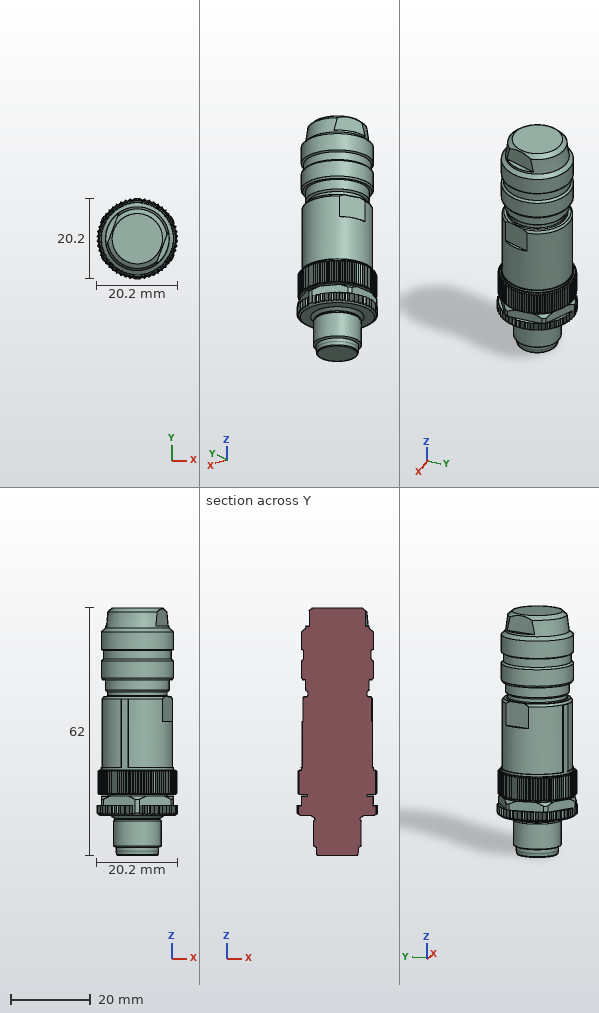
import cadquery as cq
import math


NOSE_TIP_RADIUS = 5.0
NOSE_TAPER_RADIUS = 5.2
NOSE_RADIUS = 5.35
NOSE_EDGE_Z = 0.25
NOSE_TAPER_Z = 1.1
SHANK_RADIUS = 6.0
SHANK_BOTTOM_Z = 2.35
SHANK_TOP_Z = 8.7
SHANK_EDGE = 0.3
UNDERCUT_RADIUS = 5.7
UNDERCUT_TOP_Z = 9.3
FLARE_RADIUS = 6.7

RING_RADIUS = 10.1
RING_BOTTOM_RADIUS = 9.3
RING_BOTTOM_Z = 9.98
RING_EDGE_Z = 10.6
RING_TOP_Z = 12.5
RING_NOTCHES = 52
NOTCH_DEPTH = 0.35
NOTCH_FLOOR_SHARE = 0.35
HEX_ACROSS_FLATS = 18.0
HEX_TOP_Z = 14.9
HEX_EDGE_WIDTH = 0.75
HEX_EDGE_HEIGHT = 0.85
KEY_WIDTH = 2.4

NECK_RADIUS = 7.5
SLEEVE_RADIUS = 9.87
SLEEVE_BOTTOM_Z = 15.25
SLEEVE_TOP_Z = 21.4
SLEEVE_EDGE = 0.35
SLEEVE_TOP_EDGE_WIDTH = 0.42
KNURL_GROOVES = 100
KNURL_DEPTH = 0.25

COLLAR_RADIUS = 9.1
COLLAR_TOP_Z = 21.98
BODY_RADIUS = 8.85
BODY_EDGE_Z = 39.17
BODY_TOP_Z = 39.8
BODY_TOP_RADIUS = 8.4
BODY_FLAT_DISTANCE = 8.09
BODY_FLAT_BOTTOM_Z = 33.6
RIB_HALF_ANGLE = 5.9

THROAT_RADIUS = 7.45
THROAT_FOOT_RADIUS = 7.7
THROAT_FOOT_Z = 40.05
THROAT_TOP_Z = 40.95
NUT_BASE_RADIUS = 8.0
NUT_BASE_EDGE_Z = 41.4
BAND_RADIUS = 9.05
BAND_BOTTOM_RADIUS = 8.7
LOWER_BAND_BOTTOM_Z = 44.0
LOWER_BAND_EDGE_Z = 44.5
LOWER_BAND_TOP_Z = 48.7
WAIST_RADIUS = 8.5
WAIST_BOTTOM_Z = 49.2
WAIST_TOP_Z = 51.3
UPPER_BAND_BOTTOM_Z = 51.6
UPPER_BAND_TOP_Z = 56.0
CAP_FOOT_RADIUS = 8.0
CAP_FOOT_Z = 56.92
CAP_EDGE_RADIUS = 7.45
CAP_EDGE_Z = 61.0
CAP_TOP_RADIUS = 6.3
TOTAL_HEIGHT = 61.99
CAP_FLAT_DISTANCE = 6.6
CAP_FLAT_BOTTOM_Z = 57.45

TWIST = -20.5

AXIS_START = (0, 0, 0)
AXIS_END = (0, 1, 0)


def turned(profile):
    """Solid of revolution about Z from (radius, height) points."""
    points = [(0, profile[0][1])] + profile + [(0, profile[-1][1])]
    return cq.Workplane("XZ").polyline(points).close().revolve(360, AXIS_START, AXIS_END)


def prism(points, bottom, top):
    """Upright prism over a closed XY outline."""
    return cq.Workplane("XY").workplane(offset=bottom).polyline(points).close().extrude(top - bottom)


def polar(radius, angle):
    """XY point at an angle in degrees from +X."""
    return (radius * math.cos(math.radians(angle)), radius * math.sin(math.radians(angle)))


def plug():
    return turned([
        (NOSE_TIP_RADIUS, 0),
        (NOSE_TAPER_RADIUS, NOSE_EDGE_Z),
        (NOSE_RADIUS, NOSE_TAPER_Z),
        (NOSE_RADIUS, SHANK_BOTTOM_Z - SHANK_EDGE),
        (SHANK_RADIUS, SHANK_BOTTOM_Z),
        (SHANK_RADIUS, SHANK_TOP_Z),
        (UNDERCUT_RADIUS, SHANK_TOP_Z + SHANK_EDGE),
        (UNDERCUT_RADIUS, UNDERCUT_TOP_Z),
        (FLARE_RADIUS, RING_BOTTOM_Z),
    ])


def locking_ring():
    """Ring of sharp teeth, with one notch centred on each of the X and Y axes."""
    pitch = 360 / RING_NOTCHES
    half_floor = pitch * NOTCH_FLOOR_SHARE / 2
    floor_radius = RING_RADIUS - NOTCH_DEPTH
    outline = []
    for index in range(RING_NOTCHES):
        centre = index * pitch
        outline.append(polar(floor_radius, centre - half_floor))
        outline.append(polar(floor_radius, centre + half_floor))
        outline.append(polar(RING_RADIUS, centre + pitch / 2))
    return prism(outline, RING_BOTTOM_Z, RING_TOP_Z)


def hexagon(bottom):
    """Hexagon with flats facing +X and -X."""
    corner_radius = HEX_ACROSS_FLATS / math.sqrt(3)
    outline = [polar(corner_radius, 30 + 60 * index) for index in range(6)]
    return prism(outline, bottom, HEX_TOP_Z)


def corner_keys():
    """The +Y and -Y hexagon corners, carried down to fill the ring notches below them."""
    slab = cq.Workplane("XY").box(KEY_WIDTH, 3 * RING_RADIUS, 2 * HEX_TOP_Z)
    return hexagon(RING_BOTTOM_Z).intersect(slab)


def locking_nut():
    """Ring, hexagon and keys, all trimmed by the same turned envelope."""
    envelope = turned([
        (RING_BOTTOM_RADIUS, RING_BOTTOM_Z),
        (RING_RADIUS, RING_EDGE_Z),
        (RING_RADIUS, HEX_TOP_Z - HEX_EDGE_HEIGHT),
        (RING_RADIUS - HEX_EDGE_WIDTH, HEX_TOP_Z),
    ])
    return locking_ring().union(hexagon(RING_TOP_Z)).union(corner_keys()).intersect(envelope)


def knurled_sleeve():
    pitch = 360 / KNURL_GROOVES
    outline = []
    for index in range(KNURL_GROOVES):
        outline.append(polar(SLEEVE_RADIUS - KNURL_DEPTH, index * pitch))
        outline.append(polar(SLEEVE_RADIUS, (index + 0.5) * pitch))
    envelope = turned([
        (SLEEVE_RADIUS - SLEEVE_EDGE, SLEEVE_BOTTOM_Z),
        (SLEEVE_RADIUS, SLEEVE_BOTTOM_Z + SLEEVE_EDGE),
        (SLEEVE_RADIUS, SLEEVE_TOP_Z - SLEEVE_EDGE),
        (SLEEVE_RADIUS - SLEEVE_TOP_EDGE_WIDTH, SLEEVE_TOP_Z),
    ])
    return prism(outline, SLEEVE_BOTTOM_Z, SLEEVE_TOP_Z).intersect(envelope)


def body_and_cap():
    return turned([
        (NECK_RADIUS, HEX_TOP_Z),
        (NECK_RADIUS, SLEEVE_BOTTOM_Z),
        (COLLAR_RADIUS, SLEEVE_BOTTOM_Z),
        (COLLAR_RADIUS, COLLAR_TOP_Z),
        (BODY_RADIUS, COLLAR_TOP_Z),
        (BODY_RADIUS, BODY_EDGE_Z),
        (BODY_TOP_RADIUS, BODY_TOP_Z),
        (THROAT_FOOT_RADIUS, BODY_TOP_Z),
        (THROAT_RADIUS, THROAT_FOOT_Z),
        (THROAT_RADIUS, THROAT_TOP_Z),
        (NUT_BASE_RADIUS, NUT_BASE_EDGE_Z),
        (NUT_BASE_RADIUS, LOWER_BAND_BOTTOM_Z),
        (BAND_BOTTOM_RADIUS, LOWER_BAND_BOTTOM_Z),
        (BAND_RADIUS, LOWER_BAND_EDGE_Z),
        (BAND_RADIUS, LOWER_BAND_TOP_Z),
        (WAIST_RADIUS, WAIST_BOTTOM_Z),
        (WAIST_RADIUS, WAIST_TOP_Z),
        (BAND_RADIUS, UPPER_BAND_BOTTOM_Z),
        (BAND_RADIUS, UPPER_BAND_TOP_Z),
        (CAP_FOOT_RADIUS, CAP_FOOT_Z),
        (CAP_EDGE_RADIUS, CAP_EDGE_Z),
        (CAP_TOP_RADIUS, TOTAL_HEIGHT),
    ])


def body_rib():
    """Low rib along the body, flush with the collar."""
    reach = 2 * COLLAR_RADIUS
    middle = TWIST - 90
    sector = [(0, 0), polar(reach, middle - RIB_HALF_ANGLE), polar(reach, middle + RIB_HALF_ANGLE)]
    full_round = turned([(COLLAR_RADIUS, COLLAR_TOP_Z), (COLLAR_RADIUS, BODY_EDGE_Z)])
    return full_round.intersect(prism(sector, COLLAR_TOP_Z, BODY_EDGE_Z))


def wrench_flat_cutters(distance, bottom, top):
    """Two blocks that leave parallel flats at the given distance from the axis."""
    depth = 2 * RING_RADIUS
    pair = cq.Workplane("XY")
    for side in (-1, 1):
        block = cq.Workplane("XY").box(depth, 2 * depth, top - bottom, centered=(True, True, False))
        pair = pair.add(block.translate((side * (distance + depth / 2), 0, bottom)))
    return pair.combine().rotate((0, 0, 0), (0, 0, 1), TWIST)


result = (
    plug()
    .union(locking_nut())
    .union(body_and_cap())
    .union(knurled_sleeve())
    .union(body_rib())
    .cut(wrench_flat_cutters(BODY_FLAT_DISTANCE, BODY_FLAT_BOTTOM_Z, BODY_TOP_Z))
    .cut(wrench_flat_cutters(CAP_FLAT_DISTANCE, CAP_FLAT_BOTTOM_Z, TOTAL_HEIGHT))
)